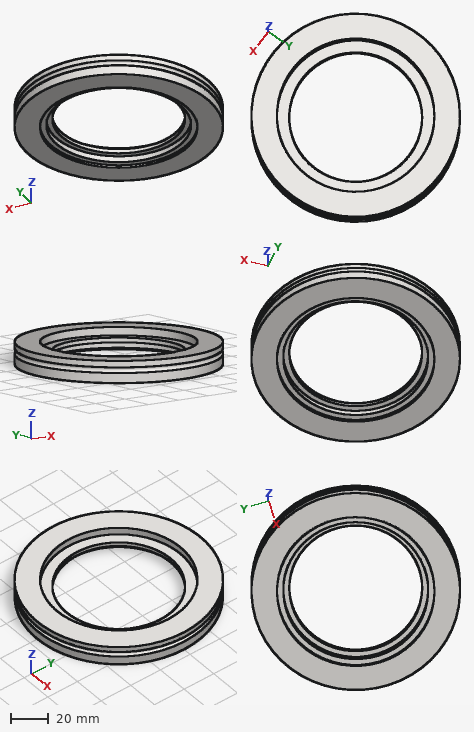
import cadquery as cq

outer_diameter = 110.0
bore_diameter = 70.0
height = 12.0

upper_recess_diameter = 83.0
upper_recess_depth = 4.5

land_thickness = 2.5

mouth_diameter = upper_recess_diameter
mouth_depth = 1.5
seat_diameter = 76.4
seat_top_z = height - upper_recess_depth - land_thickness

groove_radius = 1.5
groove_center_z = 7.0


def disc(diameter, bottom_z, top_z):
    """Solid disc on the Z axis between two heights."""
    return cq.Workplane("XY").workplane(offset=bottom_z).circle(diameter / 2).extrude(top_z - bottom_z)


def rim_groove():
    """Torus whose tube is centred on the rim, leaving a semicircular groove when cut."""
    rim_radius = outer_diameter / 2
    return (
        cq.Workplane("XZ")
        .center(rim_radius, groove_center_z)
        .circle(groove_radius)
        .revolve(360, (-rim_radius, 0), (-rim_radius, 1))
    )


result = (
    disc(outer_diameter, 0, height)
    .cut(disc(bore_diameter, 0, height))
    .cut(disc(upper_recess_diameter, height - upper_recess_depth, height))
    .cut(disc(seat_diameter, 0, seat_top_z))
    .cut(disc(mouth_diameter, 0, mouth_depth))
    .cut(rim_groove())
)